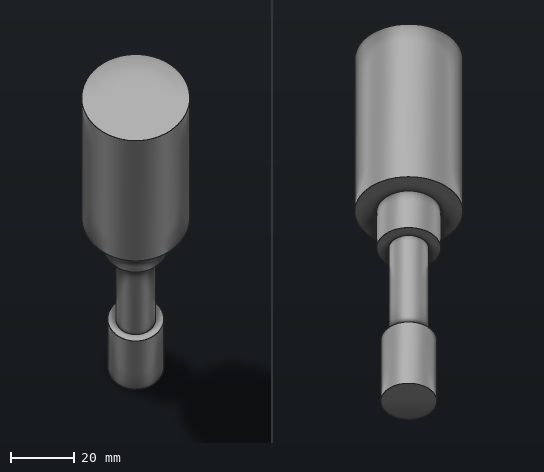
import cadquery as cq

total_length = 142.2

tip_diameter = 17.8
shaft_diameter = 12.7
collar_diameter = 20.3
body_diameter = 34.3

tip_length = 25.5
shaft_length = 38.1
collar_length = 15.2
body_length = total_length - tip_length - shaft_length - collar_length

sections = [
    (tip_diameter, tip_length),
    (shaft_diameter, shaft_length),
    (collar_diameter, collar_length),
    (body_diameter, body_length),
]


def stack_cylinders(sections):
    """Build each cylinder on the top face of the one below it."""
    stack = None
    base_height = 0
    for diameter, length in sections:
        cylinder = cq.Workplane("XY").workplane(offset=base_height).circle(diameter / 2).extrude(length)
        stack = stack.union(cylinder) if stack else cylinder
        base_height += length
    return stack


result = stack_cylinders(sections)